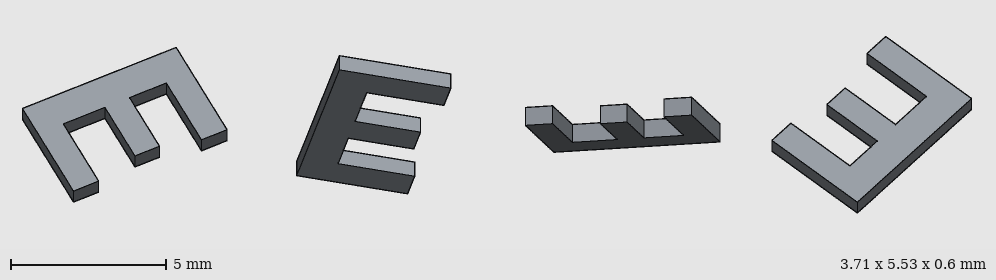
import cadquery as cq

height = 5.53
thickness = 0.6
stem_width = 1.145

bottom_reach = 3.71
middle_reach = 3.325
top_reach = 3.695

bottom_width = 0.905
middle_width = 0.885
top_width = 0.925
lower_gap = 1.495

left = -bottom_reach / 2
bottom = -height / 2


def bar(reach, width, start_y):
    """Rectangular bar running in +X from the left edge of the plate."""
    return (
        cq.Workplane("XY")
        .box(reach, width, thickness, centered=(False, False, True))
        .translate((left, start_y, 0))
    )


stem = bar(stem_width, height, bottom)
bottom_arm = bar(bottom_reach, bottom_width, bottom)
middle_arm = bar(middle_reach, middle_width, bottom + bottom_width + lower_gap)
top_arm = bar(top_reach, top_width, bottom + height - top_width)

result = stem.union(bottom_arm).union(middle_arm).union(top_arm).clean()